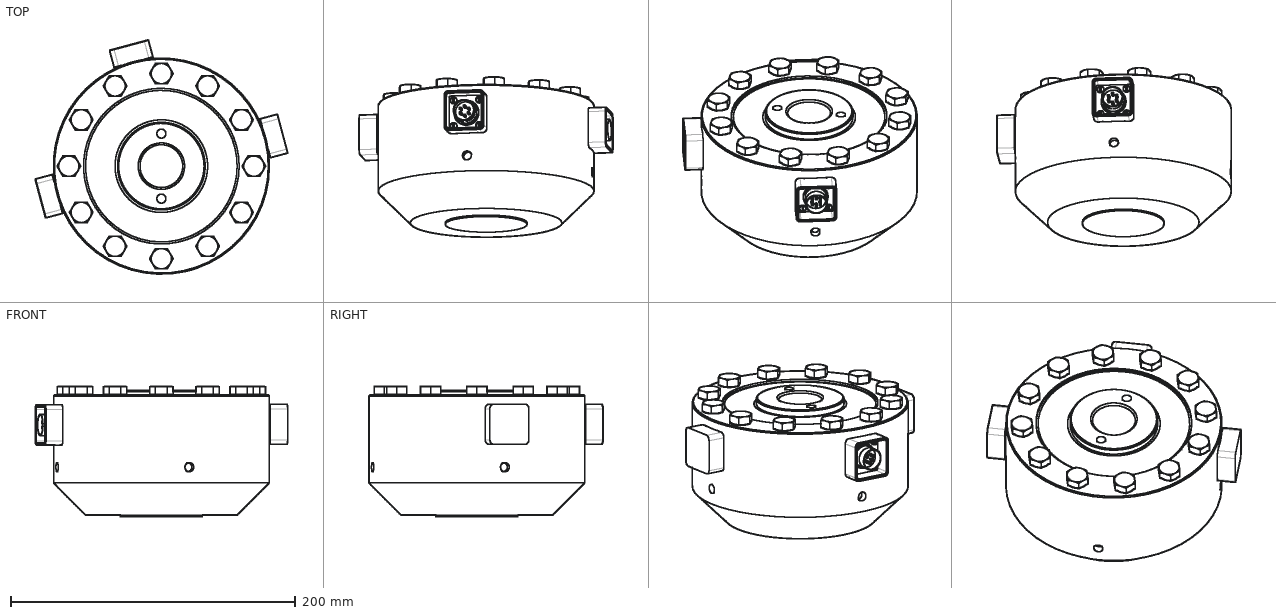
import cadquery as cq
import math

body_radius = 76.0
body_bottom = 1.1
body_top = 85.7
taper_height = 22.7
body_edge_chamfer = 0.8

hub_top = 88.9
hub_diameter = 61.7
hub_chamfer = 0.8
foot_diameter = 57.6

bore_diameter = 30.1
bore_mouth_diameter = 32.7
bore_depth = 38.0

spanner_diameter = 6.35
spanner_pitch_diameter = 45.72
spanner_depth = 9.5
drill_point_angle = 118.0

recess_diameter = 109.5
recess_depth = 1.5
face_outer_diameter = 106.6
face_inner_diameter = 65.2
face_height = 0.1

bolt_count = 12
bolt_circle_diameter = 130.175
bolt_across_flats = 14.29
bolt_top = 91.81
bolt_corner_chamfer = 0.5
bolt_seat_height = 0.4

quadrant_count = 4
first_radial_angle = 15.0
radial_hole_diameter = 6.35
radial_hole_depth = 5.0
radial_hole_z = 34.9

housing_size = 28.4
housing_corner_radius = 3.175
housing_wall = 1.7
housing_back = 75.6
housing_front = 88.2
housing_floor_thickness = 1.6
housing_rim_chamfer = 0.4
housing_z = 65.1
lower_housing_z = 64.65
plain_housing_front = 88.3

barrel_diameter = 14.99
barrel_bore_diameter = 13.97
barrel_bore_depth = 6.0
collar_diameter = 17.5
collar_height = 0.8
contact_count = 6
contact_diameter = 1.52
contact_circle_radius = 3.25
contact_length = 4.0
screw_spacing = 18.26
screw_head_diameter = 4.65
screw_head_height = 1.3
screw_slot_length = 2.85
screw_slot_width = 0.9
screw_slot_depth = 0.9


def radial_plane(angle, radius, z):
    """Plane on the drum wall: local X is tangential, local Y is up, normal points outward."""
    a = math.radians(angle)
    outward = (math.cos(a), math.sin(a), 0)
    tangent = (-math.sin(a), math.cos(a), 0)
    return cq.Plane(origin=(radius * outward[0], radius * outward[1], z), xDir=tangent, normal=outward)


def drill(plane, diameter, depth):
    """Cutter entering a plane against its normal and ending in a drill point."""
    radius = diameter / 2
    point = radius / math.tan(math.radians(drill_point_angle / 2))
    profile = [(0, 0), (radius, 0), (radius, -depth), (0, -depth - point)]
    side = cq.Plane(origin=plane.origin, xDir=plane.xDir, normal=plane.xDir.cross(plane.zDir))
    return cq.Workplane(side).polyline(profile).close().revolve(360, (0, 0), (0, 1))


def make_body():
    taper_bottom_radius = body_radius - taper_height
    recess_floor = body_top - recess_depth
    outline = [
        (0, 0),
        (foot_diameter / 2, 0),
        (foot_diameter / 2, body_bottom),
        (taper_bottom_radius, body_bottom),
        (body_radius, body_bottom + taper_height),
        (body_radius, body_top - body_edge_chamfer),
        (body_radius - body_edge_chamfer, body_top),
        (recess_diameter / 2, body_top),
        (recess_diameter / 2, recess_floor),
        (face_outer_diameter / 2, recess_floor),
        (face_outer_diameter / 2, recess_floor + face_height),
        (face_inner_diameter / 2, recess_floor + face_height),
        (face_inner_diameter / 2, recess_floor),
        (hub_diameter / 2, recess_floor),
        (hub_diameter / 2, hub_top - hub_chamfer),
        (hub_diameter / 2 - hub_chamfer, hub_top),
        (bore_mouth_diameter / 2, hub_top),
        (bore_diameter / 2, hub_top - (bore_mouth_diameter - bore_diameter) / 2),
        (bore_diameter / 2, hub_top - bore_depth),
        (0, hub_top - bore_depth),
    ]
    return cq.Workplane("XZ").polyline(outline).close().revolve(360, (0, 0), (0, 1))


def cut_spanner_holes(body):
    for side in (1, -1):
        plane = cq.Plane(origin=(0, side * spanner_pitch_diameter / 2, hub_top))
        body = body.cut(drill(plane, spanner_diameter, spanner_depth))
    return body


def cut_radial_holes(body):
    for i in range(quadrant_count):
        angle = first_radial_angle + i * 360 / quadrant_count
        plane = radial_plane(angle, body_radius, radial_hole_z)
        body = body.cut(drill(plane, radial_hole_diameter, radial_hole_depth))
    return body


def make_bolt_head():
    """Hex head with corners facing +X and -X, corners turned off at the top, on a round seat."""
    across_corners = bolt_across_flats / math.cos(math.radians(30))
    height = bolt_top - body_top
    hexagon = (
        cq.Workplane("XY")
        .workplane(offset=body_top + bolt_seat_height)
        .polygon(6, across_corners)
        .extrude(height - bolt_seat_height)
    )
    turned = (
        cq.Workplane("XY")
        .workplane(offset=body_top)
        .circle(across_corners / 2)
        .extrude(height)
        .faces(">Z")
        .chamfer(bolt_corner_chamfer, (across_corners - bolt_across_flats) / 2)
    )
    seat = cq.Workplane("XY").workplane(offset=body_top).circle(bolt_across_flats / 2).extrude(height / 2)
    return hexagon.intersect(turned).union(seat)


def add_bolts(body):
    head = make_bolt_head()
    for i in range(bolt_count):
        angle = math.radians(i * 360 / bolt_count)
        radius = bolt_circle_diameter / 2
        body = body.union(head.translate((radius * math.cos(angle), radius * math.sin(angle), 0)))
    return body


def housing_block(angle, front, z):
    """Plain housing with rounded corners, reaching from the drum wall to its front face."""
    back = radial_plane(angle, housing_back, z)
    return (
        cq.Workplane(back)
        .rect(housing_size, housing_size)
        .extrude(front - housing_back)
        .edges(cq.selectors.ParallelDirSelector(back.zDir))
        .fillet(housing_corner_radius)
    )


def connector_housing(angle, z):
    """Open housing holding a round connector, its contacts and four flange screws."""
    floor_radius = housing_back + housing_floor_thickness
    floor = radial_plane(angle, floor_radius, z)
    barrel_length = housing_front - floor_radius
    inner_size = housing_size - 2 * housing_wall

    pocket = (
        cq.Workplane(floor)
        .sketch()
        .rect(inner_size, inner_size)
        .vertices()
        .fillet(housing_corner_radius - housing_wall)
        .finalize()
        .extrude(barrel_length)
    )
    collar = cq.Workplane(floor).circle(collar_diameter / 2).extrude(collar_height)
    barrel = cq.Workplane(floor).circle(barrel_diameter / 2).extrude(barrel_length)
    bore_floor = radial_plane(angle, housing_front - barrel_bore_depth, z)
    bore = cq.Workplane(bore_floor).circle(barrel_bore_diameter / 2).extrude(barrel_bore_depth)
    contacts = (
        cq.Workplane(bore_floor)
        .polarArray(contact_circle_radius, 90, 360, contact_count)
        .circle(contact_diameter / 2)
        .extrude(contact_length)
    )
    screws = (
        cq.Workplane(floor)
        .rarray(screw_spacing, screw_spacing, 2, 2)
        .circle(screw_head_diameter / 2)
        .extrude(screw_head_height)
    )
    slots = (
        cq.Workplane(radial_plane(angle, floor_radius + screw_head_height - screw_slot_depth, z))
        .rarray(screw_spacing, screw_spacing, 2, 2)
        .rect(screw_slot_width, screw_slot_length)
        .extrude(screw_slot_depth)
    )
    shell = housing_block(angle, housing_front, z).cut(pocket)
    rim = shell.faces(cq.selectors.DirectionMinMaxSelector(floor.zDir))
    shell = rim.chamfer(housing_rim_chamfer)
    connector = collar.union(barrel).cut(bore).union(contacts)
    return shell.union(connector).union(screws).cut(slots)


def build():
    part = add_bolts(cut_radial_holes(cut_spanner_holes(make_body())))
    quarter_turn = 360 / quadrant_count
    part = part.union(housing_block(first_radial_angle, plain_housing_front, housing_z))
    part = part.union(connector_housing(first_radial_angle + quarter_turn, housing_z))
    return part.union(connector_housing(first_radial_angle + 2 * quarter_turn, lower_housing_z))


result = build()